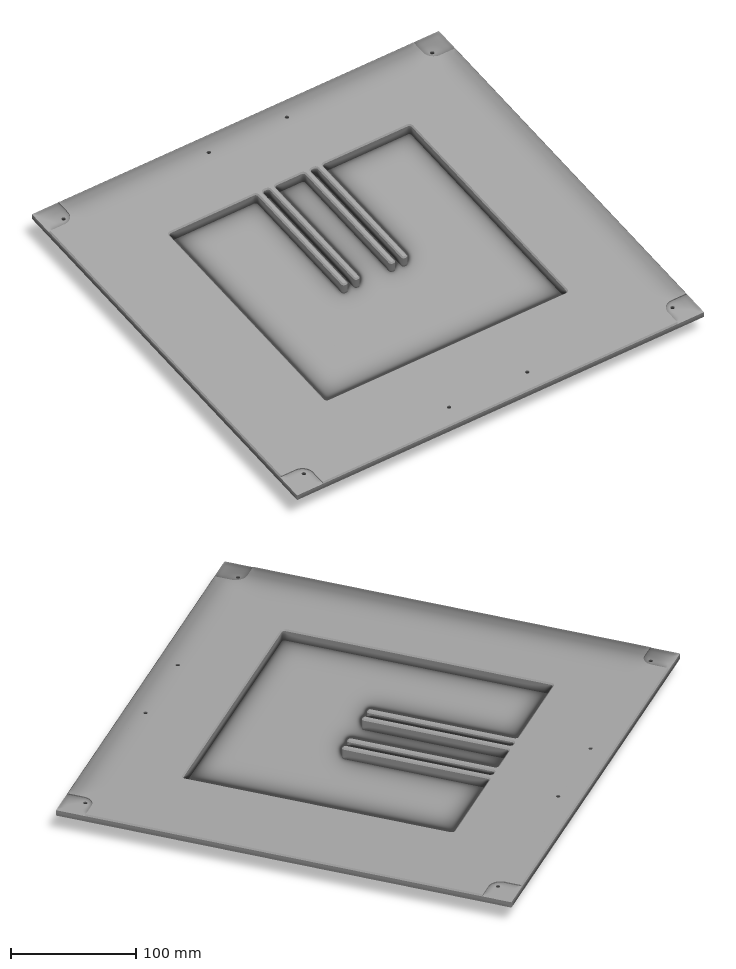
import cadquery as cq

side = 387.5
total_height = 15.0
plate_thickness = 6.2
edge_chamfer = 1.0

base_height = total_height - plate_thickness
base_top_side = 285.3
base_bottom_side = base_top_side - 2 * base_height

pocket_side = 230.2
pocket_depth = 10.0
pocket_corner_radius = 2.5
rim_chamfer = 1.0
rib_width = 5.5
rib_length = 126.5
rib_pitch = 11.5
rib_pair_spacing = 45.5

seat_side = 25.0
seat_radius = 10.0
seat_depth = edge_chamfer

hole_diameter = 3.5
hole_depth = 4.5
hole_inset = 18.2
side_hole_spacing = 74.5


def make_plate():
    plate = cq.Workplane("XY").box(side, side, plate_thickness, centered=(True, True, False))
    return plate.translate((0, 0, -plate_thickness)).faces(">Z").edges().chamfer(edge_chamfer)


def make_base():
    return (
        cq.Workplane("XY", origin=(0, 0, -plate_thickness))
        .rect(base_top_side, base_top_side)
        .workplane(offset=-base_height)
        .rect(base_bottom_side, base_bottom_side)
        .loft(ruled=True)
    )


def cut_pocket(body):
    """Sink the pocket, leaving two pairs of ribs joined to its -X wall, and bevel all its top edges."""
    pocket = cq.Workplane("XY").rect(pocket_side, pocket_side).extrude(-pocket_depth)
    for pair_y in (-rib_pair_spacing / 2, rib_pair_spacing / 2):
        for rib_y in (pair_y - rib_pitch / 2, pair_y + rib_pitch / 2):
            rib = (
                cq.Workplane("XY")
                .center((rib_length - pocket_side) / 2, rib_y)
                .rect(rib_length, rib_width)
                .extrude(-pocket_depth)
            )
            pocket = pocket.cut(rib)
    pocket = pocket.edges("|Z").fillet(pocket_corner_radius)
    body = body.cut(pocket)
    reach = pocket_side / 2 + rim_chamfer
    mouth = cq.selectors.BoxSelector((-reach, -reach, -rim_chamfer), (reach, reach, rim_chamfer))
    return body.faces(">Z").edges(mouth).chamfer(rim_chamfer)


def make_corner_seats():
    seats = (
        cq.Workplane("XY")
        .rect(side, side, forConstruction=True)
        .vertices()
        .rect(2 * seat_side, 2 * seat_side)
        .extrude(-seat_depth)
    )
    return seats.edges("|Z").fillet(seat_radius)


def make_holes():
    hole_x = side / 2 - hole_inset
    rows = (-hole_x, -side_hole_spacing / 2, side_hole_spacing / 2, hole_x)
    points = [(x, y) for x in (-hole_x, hole_x) for y in rows]
    return cq.Workplane("XY").pushPoints(points).circle(hole_diameter / 2).extrude(-hole_depth)


body = cut_pocket(make_plate().union(make_base()))
result = body.cut(make_corner_seats()).cut(make_holes())